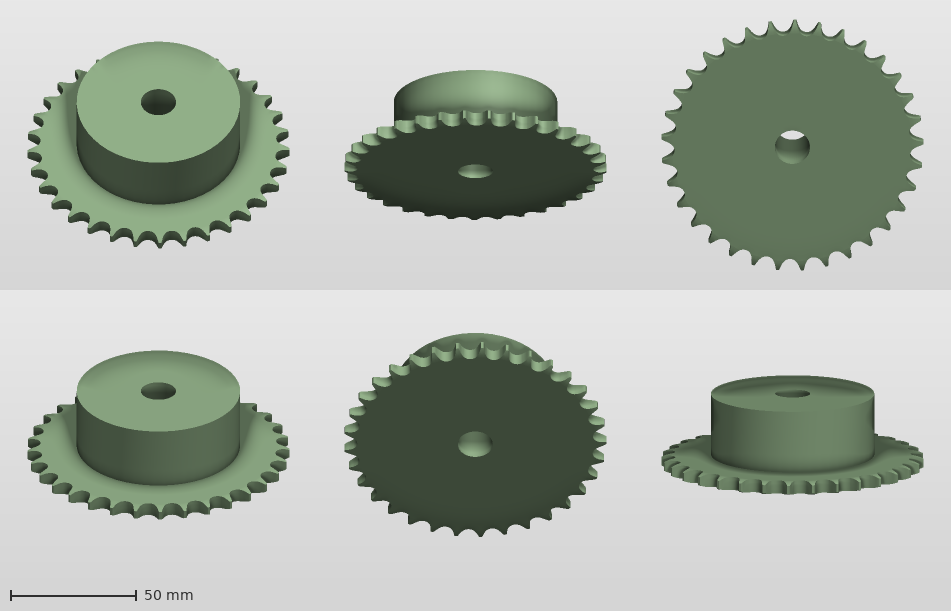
import cadquery as cq
import math

tooth_count = 33
pitch_diameter = 100.3
roller_diameter = 6.4
outside_diameter = 104.3
plate_thickness = 5.3

tip_face_drop = 1.0
tip_face_radius = 10.0

hub_diameter = 65.0
bore_diameter = 14.0
total_height = 30.0

seating_clearance = 0.04
topping_sweep = 18.0
seating_radius = 0.5025 * roller_diameter + seating_clearance
working_radius = 1.3025 * roller_diameter + seating_clearance
seating_tilt = 35 + 60 / tooth_count
working_sweep = 18 - 56 / tooth_count
line_angle = 17 - 64 / tooth_count
flank_length = roller_diameter * (
    1.4 * math.sin(math.radians(line_angle)) - 0.8 * math.sin(math.radians(working_sweep))
)
topping_radius = roller_diameter * (
    0.8 * math.cos(math.radians(working_sweep)) + 1.4 * math.cos(math.radians(line_angle)) - 1.3025
) - seating_clearance


def polar(center, radius, angle):
    """Point at a radius and an angle in degrees from a center."""
    turn = math.radians(angle)
    return (center[0] + radius * math.cos(turn), center[1] + radius * math.sin(turn))


def mirrored(point):
    return (-point[0], point[1])


def make_plate():
    """Disc with both faces rounded down toward the rim."""
    outside_radius = outside_diameter / 2
    face_run = math.sqrt(tip_face_radius**2 - (tip_face_radius - tip_face_drop) ** 2)
    flat_radius = outside_radius - face_run
    half_angle = math.degrees(math.asin(face_run / tip_face_radius)) / 2
    top_mid = polar((flat_radius, plate_thickness - tip_face_radius), tip_face_radius, 90 - half_angle)
    bottom_mid = polar((flat_radius, tip_face_radius), tip_face_radius, half_angle - 90)
    return (
        cq.Workplane("XZ")
        .moveTo(0, 0)
        .lineTo(flat_radius, 0)
        .threePointArc(bottom_mid, (outside_radius, tip_face_drop))
        .lineTo(outside_radius, plate_thickness - tip_face_drop)
        .threePointArc(top_mid, (flat_radius, plate_thickness))
        .lineTo(0, plate_thickness)
        .close()
        .revolve(360, (0, 0, 0), (0, 1, 0))
    )


def make_tooth_gap():
    """Cutter for the gap centered on +Y: seat, working arc, straight flank and topping arc per side."""
    seat_center = (0, pitch_diameter / 2)
    seat_bottom = polar(seat_center, seating_radius, -90)
    seat_end = polar(seat_center, seating_radius, -seating_tilt)

    working_center = polar(seat_end, working_radius, 180 - seating_tilt)
    working_mid = polar(working_center, working_radius, working_sweep / 2 - seating_tilt)
    working_end = polar(working_center, working_radius, working_sweep - seating_tilt)

    flank_tilt = seating_tilt - working_sweep
    flank_end = polar(working_end, flank_length, 90 - flank_tilt)

    topping_center = polar(flank_end, topping_radius, -flank_tilt)
    topping_start = 180 - flank_tilt
    topping_mid = polar(topping_center, topping_radius, topping_start - topping_sweep / 2)
    topping_end = polar(topping_center, topping_radius, topping_start - topping_sweep)

    return (
        cq.Workplane("XY")
        .moveTo(*topping_end)
        .threePointArc(topping_mid, flank_end)
        .lineTo(*working_end)
        .threePointArc(working_mid, seat_end)
        .threePointArc(seat_bottom, mirrored(seat_end))
        .threePointArc(mirrored(working_mid), mirrored(working_end))
        .lineTo(*mirrored(flank_end))
        .threePointArc(mirrored(topping_mid), mirrored(topping_end))
        .close()
        .extrude(plate_thickness)
    )


plate = make_plate()
tooth_gap = make_tooth_gap()
for index in range(tooth_count):
    plate = plate.cut(tooth_gap.rotate((0, 0, 0), (0, 0, 1), index * 360 / tooth_count))

hub = cq.Workplane("XY").circle(hub_diameter / 2).extrude(total_height)
bore = cq.Workplane("XY").circle(bore_diameter / 2).extrude(total_height)

result = plate.union(hub).cut(bore)